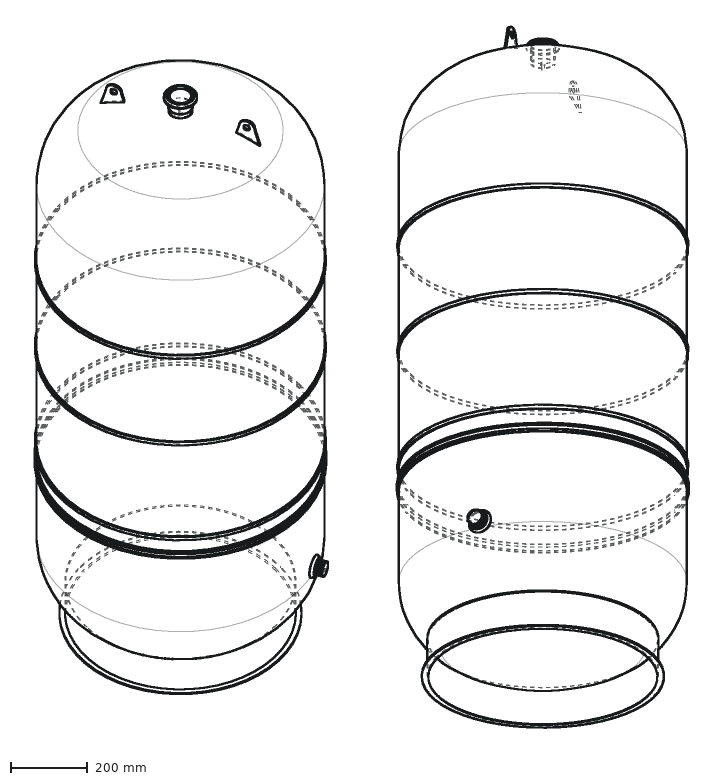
import cadquery as cq
import math

total_height = 1810.0

shell_diameter = 750.0
shell_radius = shell_diameter / 2
upper_seam_z = 1498.0
lower_seam_z = 271.0
crown_radius = 534.0
knuckle_radius = 215.0

hoop_radius = 378.0
hoop_height = 10.0
hoop_levels = (1232.0, 930.0, 599.0)

joint_level = 541.0
joint_base_radius = hoop_radius
joint_base_height = 24.0
joint_rim_radius = 380.0
joint_rim_height = 10.0

port_diameter = 8.0
port_depth = 18.0
port_recess_diameter = 12.3
port_recess_depth = 5.0

nozzle_diameter = 65.0
nozzle_neck_diameter = 63.0
nozzle_neck_top_z = 1770.0
nozzle_bore_diameter = 56.0
nozzle_flange_diameter = 87.0
nozzle_flange_thickness = 10.0
nozzle_flange_top_diameter = 76.0
nozzle_flange_bevel_height = 7.0
nozzle_mouth_diameter = 65.0

lug_offset = 186.0
lug_hole_z = 1759.0
lug_hole_diameter = 18.0
lug_top_radius = 22.0
lug_base_width = 81.0
lug_base_z = 1692.0
lug_thickness = 5.0

skirt_diameter = 600.0
skirt_bore_diameter = 595.0
foot_diameter = 630.0
foot_thickness = 4.0

drain_z = 290.0
drain_end_x = 405.0
drain_collar_diameter = 63.0
drain_collar_end_x = 384.0
drain_collar_tip_diameter = 52.0
drain_stub_diameter = 42.0
drain_groove_depth = 2.0
drain_groove_count = 3

knuckle_centre_radius = shell_radius - knuckle_radius
crown_angle = math.asin(knuckle_centre_radius / (crown_radius - knuckle_radius))
crown_centre_offset = (crown_radius - knuckle_radius) * math.cos(crown_angle)
dome_height = crown_radius - crown_centre_offset
apex_z = upper_seam_z + dome_height


def dome_points():
    """Radius and height above the seam: crown middle, crown edge, knuckle middle."""
    half_angle = crown_angle / 2
    crown_middle = (
        crown_radius * math.sin(half_angle),
        crown_radius * math.cos(half_angle) - crown_centre_offset,
    )
    crown_edge = (
        crown_radius * math.sin(crown_angle),
        crown_radius * math.cos(crown_angle) - crown_centre_offset,
    )
    knuckle_angle = (crown_angle + math.pi / 2) / 2
    knuckle_middle = (
        knuckle_centre_radius + knuckle_radius * math.sin(knuckle_angle),
        knuckle_radius * math.cos(knuckle_angle),
    )
    return crown_middle, crown_edge, knuckle_middle


def disc(diameter, bottom_z, height):
    """A round disc on the tank axis."""
    return cq.Workplane("XY").workplane(offset=bottom_z).circle(diameter / 2).extrude(height)


def make_tank():
    """Domed tank with its hoops, joint ring and crown port."""
    upper = [(r, upper_seam_z + h) for r, h in dome_points()]
    lower = [(r, lower_seam_z - h) for r, h in dome_points()]
    tank = (
        cq.Workplane("XZ")
        .moveTo(0, lower_seam_z - dome_height)
        .threePointArc(lower[0], lower[1])
        .threePointArc(lower[2], (shell_radius, lower_seam_z))
        .lineTo(shell_radius, upper_seam_z)
        .threePointArc(upper[2], upper[1])
        .threePointArc(upper[0], (0, apex_z))
        .close()
        .revolve(360, (0, 0, 0), (0, 1, 0))
    )
    for level in hoop_levels:
        tank = tank.union(disc(2 * hoop_radius, level - hoop_height / 2, hoop_height))
    tank = tank.union(disc(2 * joint_base_radius, joint_level - joint_base_height / 2, joint_base_height))
    tank = tank.union(disc(2 * joint_rim_radius, joint_level - joint_rim_height / 2, joint_rim_height))
    tank = tank.cut(disc(port_diameter, apex_z - port_depth, port_depth))
    return tank.cut(disc(port_recess_diameter, apex_z - port_recess_depth, port_recess_depth))


def make_nozzle(tank):
    """Pipe with a bevelled flange and a flared mouth, standing on the crown of the tank."""
    foot_z = apex_z - nozzle_diameter / 2
    flange_bottom_z = total_height - nozzle_flange_thickness
    bevel_bottom_z = total_height - nozzle_flange_bevel_height
    flare_depth = (nozzle_mouth_diameter - nozzle_bore_diameter) / 2
    nozzle = (
        cq.Workplane("XZ")
        .moveTo(nozzle_bore_diameter / 2, foot_z)
        .lineTo(nozzle_neck_diameter / 2, foot_z)
        .lineTo(nozzle_neck_diameter / 2, nozzle_neck_top_z)
        .lineTo(nozzle_diameter / 2, nozzle_neck_top_z)
        .lineTo(nozzle_diameter / 2, flange_bottom_z)
        .lineTo(nozzle_flange_diameter / 2, flange_bottom_z)
        .lineTo(nozzle_flange_diameter / 2, bevel_bottom_z)
        .lineTo(nozzle_flange_top_diameter / 2, total_height)
        .lineTo(nozzle_mouth_diameter / 2, total_height)
        .lineTo(nozzle_bore_diameter / 2, total_height - flare_depth)
        .close()
        .revolve(360, (0, 0, 0), (0, 1, 0))
    )
    return nozzle.cut(tank)


def make_lug(side, tank):
    """Drilled plate with a round top; side is -1 or +1 along X."""
    x = side * lug_offset
    lug = (
        cq.Workplane("XZ")
        .moveTo(x - lug_base_width / 2, lug_base_z)
        .lineTo(x - lug_top_radius, lug_hole_z)
        .threePointArc((x, lug_hole_z + lug_top_radius), (x + lug_top_radius, lug_hole_z))
        .lineTo(x + lug_base_width / 2, lug_base_z)
        .close()
        .moveTo(x, lug_hole_z)
        .circle(lug_hole_diameter / 2)
        .extrude(lug_thickness / 2, both=True)
    )
    return lug.cut(tank)


def make_skirt(tank):
    """Thin tube with a foot flange, trimmed to the lower dome."""
    skirt = (
        disc(skirt_diameter, 0, lower_seam_z)
        .union(disc(foot_diameter, 0, foot_thickness))
        .cut(disc(skirt_bore_diameter, 0, lower_seam_z))
    )
    return skirt.cut(tank)


def make_drain(tank):
    """Conical collar on the side of the shell with a stub ringed by even grooves."""
    start_x = shell_radius - 18
    collar_radius = drain_collar_diameter / 2
    stub_radius = drain_stub_diameter / 2
    groove_radius = stub_radius - drain_groove_depth
    groove_width = (drain_end_x - drain_collar_end_x) / (2 * drain_groove_count + 1)
    profile = (
        cq.Workplane("XY")
        .moveTo(start_x, 0)
        .lineTo(start_x, collar_radius)
        .lineTo(shell_radius, collar_radius)
        .lineTo(drain_collar_end_x, drain_collar_tip_diameter / 2)
        .lineTo(drain_collar_end_x, stub_radius)
    )
    for index in range(drain_groove_count):
        groove_start_x = drain_collar_end_x + (2 * index + 1) * groove_width
        groove_end_x = groove_start_x + groove_width
        profile = (
            profile.lineTo(groove_start_x, stub_radius)
            .lineTo(groove_start_x, groove_radius)
            .lineTo(groove_end_x, groove_radius)
            .lineTo(groove_end_x, stub_radius)
        )
    drain = (
        profile.lineTo(drain_end_x, stub_radius)
        .lineTo(drain_end_x, 0)
        .close()
        .revolve(360, (0, 0, 0), (1, 0, 0))
        .translate((0, 0, drain_z))
    )
    return drain.cut(tank)


tank = make_tank()
nozzle = make_nozzle(tank)
lugs = [make_lug(side, tank) for side in (-1, 1)]
skirt = make_skirt(tank)
drain = make_drain(tank)

result = cq.Compound.makeCompound(
    [tank.val(), nozzle.val(), *[lug.val() for lug in lugs], skirt.val(), drain.val()]
)